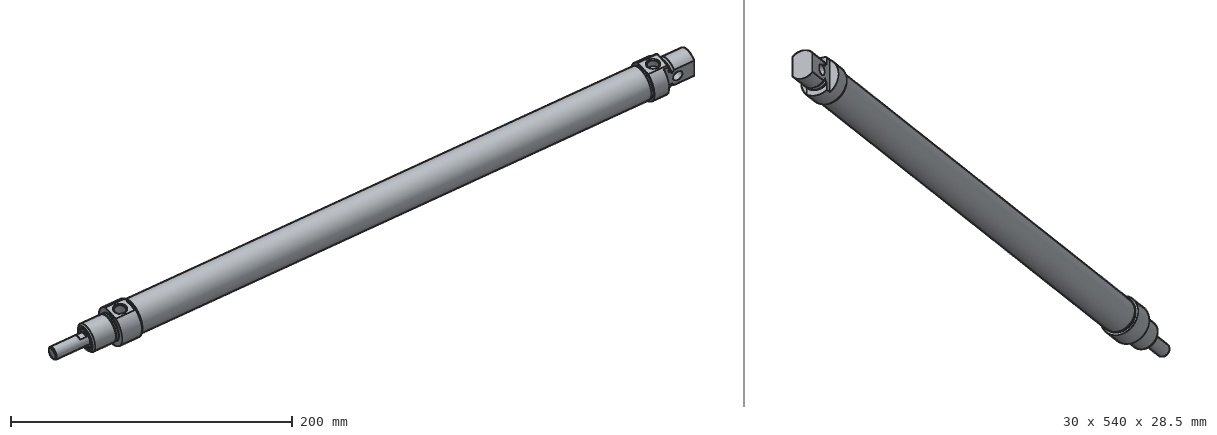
import cadquery as cq
import math


length = 540.0
rod_end = -length / 2
tang_end = length / 2

rod_dia = 10.0
rod_tip_dia = 8.5
rod_tip_chamfer = (rod_dia - rod_tip_dia) / 2
rod_flats_width = 8.5
rod_flats_length = 5.5
rod_flats_gap = 0.5

nose_groove_depth = 1.0
tang_groove_depth = 1.5

nose_end = -242.0
nose_dia = 22.0
nose_tip_dia = 19.5
nose_chamfer = (nose_dia - nose_tip_dia) / 2
nose_groove_start = -223.0
wiper_seat_dia = 16.0
wiper_dia = 14.0
wiper_seat_depth = 1.5
wiper_thickness = wiper_seat_depth / 2

cover_dia = 30.0
front_cover_start = -220.5
front_cover_end = -203.5
rear_cover_start = 231.5
rear_cover_end = 248.5
tube_dia = 27.0
seam_dia = 26.5
seam_width = 1.5

port_flat_height = tube_dia / 2
port_dia = 8.5
port_mouth_dia = 10.0
port_bevel = (port_mouth_dia - port_dia) / 2
port_bevel_angle = 45
sleeve_dia = 11.5
rear_port_depth = 6.5
drill_point_angle = 118
drill_point_depth = port_dia / 2 / math.tan(math.radians(drill_point_angle / 2))
front_port_y = -212.0
rear_port_y = 240.5

tang_dia = 22.0
tang_width = 16.0
tang_length = 17.5
tang_flats_depth = 4.5
pin_dia = 8.0
pin_y = 256.0


def cylinder(diameter, y_start, y_end):
    """Solid cylinder on the Y axis between two stations."""
    plane = cq.Workplane("XZ", origin=(0, y_start, 0))
    return plane.circle(diameter / 2).extrude(y_start - y_end)


def block(width, height, y_start, y_end):
    """Box centred on the Y axis between two stations."""
    plane = cq.Workplane("XZ", origin=(0, y_start, 0))
    return plane.rect(width, height).extrude(y_start - y_end)


def cut_vee_groove(body, diameter, depth, y_center):
    """Cut a 90-degree vee groove around a cylinder of the given diameter."""
    outer = diameter / 2
    profile = [
        (outer, y_center - depth),
        (outer - depth, y_center),
        (outer, y_center + depth),
    ]
    groove = cq.Workplane("XY").polyline(profile).close().revolve(360, (0, 0, 0), (0, 1, 0))
    return body.cut(groove)


def make_rod():
    """Rod with a chamfered tip and two wrench flats close to the nose."""
    rod = cylinder(rod_dia, rod_end, nose_end + wiper_seat_depth)
    rod = rod.faces("<Y").chamfer(rod_tip_chamfer)
    flats_end = nose_end - rod_flats_gap
    flats_start = flats_end - rod_flats_length
    stock = cylinder(rod_dia, flats_start, flats_end)
    return rod.cut(stock.cut(block(rod_dia, rod_flats_width, flats_start, flats_end)))


def make_nose():
    nose = cylinder(nose_dia, nose_end, front_cover_start).faces("<Y").chamfer(nose_chamfer)
    nose = cut_vee_groove(nose, nose_dia, nose_groove_depth, nose_groove_start + nose_groove_depth)
    return nose.cut(cylinder(wiper_seat_dia, nose_end, nose_end + wiper_seat_depth))


def make_wiper():
    """Wiper ring on the floor of its recess, standing below the nose face."""
    seat_floor = nose_end + wiper_seat_depth
    return cylinder(wiper_dia, seat_floor - wiper_thickness, seat_floor)


def make_cover(y_start, y_end):
    """Round cover with a flat along its top."""
    cover = cylinder(cover_dia, y_start, y_end)
    above_flat = block(cover_dia, cover_dia, y_start, y_end).translate((0, 0, port_flat_height + cover_dia / 2))
    return cover.cut(above_flat)


def make_port(port_y, depth):
    """Bevelled air port that runs down from its flat."""
    flat = cq.Workplane("XY", origin=(0, port_y, port_flat_height))
    port = flat.circle(port_dia / 2).extrude(-depth)
    mouth = flat.circle(port_mouth_dia / 2).extrude(-port_bevel, taper=port_bevel_angle)
    return port.union(mouth)


def make_front_cover():
    """Front cover whose port stops on the round sleeve that guides the rod."""
    cover = make_cover(front_cover_start, front_cover_end)
    sleeve = cylinder(sleeve_dia, front_cover_start, front_cover_end)
    return cover.cut(make_port(front_port_y, port_flat_height)).union(sleeve)


def make_rear_cover():
    """Rear cover whose port is a blind hole with a conical drill point."""
    cover = make_cover(rear_cover_start, rear_cover_end)
    point_plane = cq.Workplane("XZ", origin=(0, rear_port_y, 0))
    floor = port_flat_height - rear_port_depth
    point_profile = [(0, floor), (port_dia / 2, floor), (0, floor - drill_point_depth)]
    point = point_plane.polyline(point_profile).close().revolve(360, (0, 0, 0), (0, 1, 0))
    return cover.cut(make_port(rear_port_y, rear_port_depth)).cut(point)


def make_tube():
    """Tube with a shallow narrow seam next to each cover."""
    tube = cylinder(tube_dia, front_cover_end + seam_width, rear_cover_start - seam_width)
    return tube.union(cylinder(seam_dia, front_cover_end, rear_cover_start))


def make_tang():
    tang = cylinder(tang_dia, rear_cover_end, tang_end)
    return cut_vee_groove(tang, tang_dia, tang_groove_depth, tang_end - tang_length - tang_groove_depth)


def cut_tang_flats(body):
    """Mill the tang to its width, slightly into the cover, and drill the pin hole across it."""
    flats_start = rear_cover_end - tang_flats_depth
    waste = block(2 * cover_dia, 2 * cover_dia, flats_start, tang_end)
    waste = waste.cut(block(tang_width, 2 * cover_dia, flats_start, tang_end))
    pin_hole = cq.Workplane("YZ").center(pin_y, 0).circle(pin_dia / 2).extrude(tang_width, both=True)
    return body.cut(waste).cut(pin_hole)


rear_end = make_rear_cover().union(make_tang())
result = cut_tang_flats(rear_end)
result = result.union(make_tube())
result = result.union(make_front_cover())
result = result.union(make_nose())
result = result.union(make_wiper())
result = result.union(make_rod())